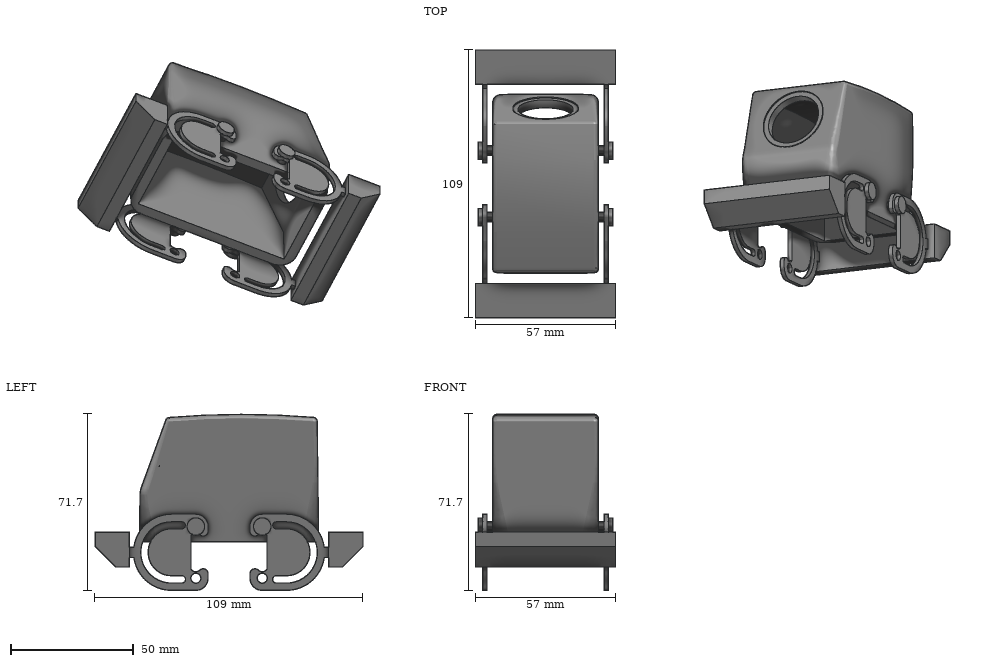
import cadquery as cq
import math

body_half_width = 21.5
body_half_length = 36.5
body_top = 51.93
roof_sagitta = 1.35
roof_end_z = body_top - roof_sagitta
draft = math.tan(math.radians(0.7))
slant_angle = math.radians(20)
slant = math.tan(slant_angle)
knee_z = 20.7
knee_radius = 9.0
flare_z = 24.0
wall = 4.0

roof_radius = 1.8
corner_radius_top = 1.6
corner_radius_flare = 2.1
corner_radius_knee = 3.2
corner_radius_front = 6.8
corner_radius_back = 7.3

entry_diameter = 22.4
seat_diameter = 26.7
seat_depth = 0.5
entry_cut_depth = 10.0

ring_y = 23.4
ring_z = -4.25
ring_radius = 15.5
slot_mid_radius = 11.0
slot_width = 2.9
slot_end_y = 17.75
plate_edge_y = 15.4
plate_inner_x = 23.8
plate_outer_x = 25.6
hook_radius = 5.0
finger_radius = 2.0
finger_offset = 1.86
notch_web = 2.68
pivot_y = 13.5
pivot_height = ring_radius - hook_radius
pivot_z = ring_z + pivot_height
hook_hole_radius = 2.0

pin_radius = 2.0
pin_head_radius = 3.55
pin_head_x = 27.4
pin_embed = 1.0

handle_length = 57.0
handle_inner_y = 40.5
handle_outer_y = 54.5
handle_top = 3.95
handle_bottom = -10.25
handle_chamfer = 8.4
tab_height = 4.2
tab_embed = 2.0

plate_thickness = plate_outer_x - plate_inner_x
finger_y = pivot_y - hook_radius + finger_radius
finger_height = pivot_height - finger_offset
notch_top = pivot_height - notch_web
finger_run = pivot_y - finger_y
finger_gap = finger_height - notch_top
notch_radius = (finger_run**2 + finger_gap**2 - finger_radius**2) / (2 * (finger_radius - finger_gap))
notch_height = notch_top - notch_radius
notch_edge = notch_height + math.sqrt(notch_radius**2 - (plate_edge_y - pivot_y) ** 2)
blend_share = notch_radius / (notch_radius + finger_radius)
blend_y = pivot_y + blend_share * (finger_y - pivot_y)
blend_height = notch_height + blend_share * (finger_height - notch_height)

knee_tangent = knee_radius * math.tan((slant_angle - math.atan(draft)) / 2)
knee_y = body_half_length - draft * knee_z
roof_back_y = knee_y - slant * (roof_end_z - knee_z)
roof_front_y = -body_half_length + draft * roof_end_z
roof_mid_y = (roof_back_y + roof_front_y) / 2
upright_limit = (flare_z + roof_end_z) / 2
slant_z = (knee_z + roof_end_z) / 2
slant_y = knee_y - slant * (slant_z - knee_z)


def hood_outline(half_width, base_z):
    """Closed side outline of the hood at X = -half_width, from base_z to the roof.

    The front side has an extra point at flare_z so that its corner edges are split there.
    """
    base_y = body_half_length - draft * base_z
    knee_start = (knee_y + draft * knee_tangent, knee_z - knee_tangent)
    knee_end = (knee_y - knee_tangent * math.sin(slant_angle), knee_z + knee_tangent * math.cos(slant_angle))
    return (
        cq.Workplane("YZ", origin=(-half_width, 0, 0))
        .moveTo(base_y, base_z)
        .lineTo(*knee_start)
        .tangentArcPoint(knee_end, relative=False)
        .lineTo(roof_back_y, roof_end_z)
        .threePointArc((roof_mid_y, body_top), (roof_front_y, roof_end_z))
        .lineTo(-body_half_length + draft * flare_z, flare_z)
        .lineTo(-base_y, base_z)
        .close()
    )


def extrude_hood():
    """Sharp-cornered hood; the split front face must stay unmerged."""
    return hood_outline(body_half_width, 0).extrude(2 * body_half_width, clean=False)


def corner_radius_at(point):
    """Corner radius at the end point of an upright edge."""
    at_back = point.y > 0
    if point.z < knee_z / 2:
        return corner_radius_back if at_back else corner_radius_front
    if point.z > upright_limit:
        return corner_radius_top
    return corner_radius_knee if at_back else corner_radius_flare


def round_hood(blank):
    """Blend roof edges at one radius and upright edges at a varying radius."""
    maker = cq.occ_impl.shapes.BRepFilletAPI_MakeFillet(blank.val().wrapped)
    for edge in blank.edges().vals():
        low = min(edge.startPoint().z, edge.endPoint().z)
        high = max(edge.startPoint().z, edge.endPoint().z)
        on_side = abs(edge.Center().x) > body_half_width / 2
        if low > upright_limit:
            maker.Add(roof_radius, edge.wrapped)
        elif on_side and high > knee_z / 2:
            maker.Add(edge.wrapped)
            contour = maker.Contour(edge.wrapped)
            for vertex in edge.Vertices():
                maker.SetRadius(corner_radius_at(vertex.Center()), contour, vertex.wrapped)
    return cq.Workplane(cq.Shape.cast(maker.Shape()))


def hood_cavity():
    """Hollow of the hood: the outline inset by the wall, open at the underside."""
    half_width = body_half_width - wall
    return hood_outline(half_width, -wall).offset2D(-wall).extrude(2 * half_width)


def cable_entry():
    """Bore through the slanted wall with a shallow seat around it."""
    face = cq.Workplane(cq.Plane((0, slant_y, slant_z), (1, 0, 0), (0, 1, slant)))
    bore = face.circle(entry_diameter / 2).extrude(-entry_cut_depth)
    seat = face.workplane(offset=seat_depth).circle(seat_diameter / 2).extrude(-2 * seat_depth)
    return bore.union(seat)


def half_plate():
    """Upper half of a lever side plate, on the ring's centre line at Z = 0."""
    hook_y = pivot_y - hook_radius
    blank = (
        cq.Workplane("YZ", origin=(plate_inner_x, 0, 0))
        .moveTo(plate_edge_y, 0)
        .lineTo(plate_edge_y, notch_edge)
        .threePointArc((pivot_y, notch_height + notch_radius), (blend_y, blend_height))
        .threePointArc((finger_y, finger_height - finger_radius), (hook_y, finger_height))
        .lineTo(hook_y, pivot_height)
        .radiusArc((pivot_y, ring_radius), hook_radius)
        .lineTo(ring_y, ring_radius)
        .threePointArc(ring_point(ring_radius), (ring_y + ring_radius, 0))
        .close()
        .extrude(plate_thickness)
    )
    slot_outer = slot_mid_radius + slot_width / 2
    slot_inner = slot_mid_radius - slot_width / 2
    slot_cap_y = slot_end_y + slot_width / 2
    slot = (
        cq.Workplane("YZ", origin=(plate_inner_x, 0, 0))
        .moveTo(ring_y + slot_outer, 0)
        .threePointArc(ring_point(slot_outer), (ring_y, slot_outer))
        .lineTo(slot_cap_y, slot_outer)
        .threePointArc((slot_end_y, slot_mid_radius), (slot_cap_y, slot_inner))
        .lineTo(ring_y, slot_inner)
        .threePointArc(ring_point(slot_inner), (ring_y + slot_inner, 0))
        .close()
        .extrude(plate_thickness)
    )
    hole = (
        cq.Workplane("YZ", origin=(plate_inner_x, pivot_y, pivot_height))
        .circle(hook_hole_radius)
        .extrude(plate_thickness)
    )
    return blank.cut(slot).cut(hole)


def ring_point(radius):
    """Point halfway along the quarter circle of the given radius about the ring centre."""
    reach = radius * math.cos(math.radians(45))
    return (ring_y + reach, reach)


def lever_plate():
    """Complete side plate with the tab that joins it to the handle."""
    upper = half_plate()
    plate = upper.union(upper.mirror("XY"))
    tab_start_y = ring_y + ring_radius - tab_embed
    tab = cq.Workplane(origin=(plate_inner_x, tab_start_y, 0)).box(
        plate_thickness, handle_inner_y - tab_start_y, tab_height, centered=(False, False, True)
    )
    return plate.union(tab).translate((0, 0, ring_z))


def pivot_pin():
    """Headed pin from the hood wall out through the upper hook hole."""
    pin_start_x = body_half_width - pin_embed
    shank = (
        cq.Workplane("YZ", origin=(pin_start_x, pivot_y, pivot_z))
        .circle(pin_radius)
        .extrude(plate_outer_x - pin_start_x)
    )
    head = (
        cq.Workplane("YZ", origin=(plate_outer_x, pivot_y, pivot_z))
        .circle(pin_head_radius)
        .extrude(pin_head_x - plate_outer_x)
    )
    return shank.union(head)


def handle_bar():
    """Bar across both plates, chamfered along its lower outer edge."""
    return (
        cq.Workplane("YZ", origin=(-handle_length / 2, 0, 0))
        .moveTo(handle_inner_y, handle_bottom)
        .lineTo(handle_outer_y - handle_chamfer, handle_bottom)
        .lineTo(handle_outer_y, handle_bottom + handle_chamfer)
        .lineTo(handle_outer_y, handle_top)
        .lineTo(handle_inner_y, handle_top)
        .close()
        .extrude(handle_length)
    )


def lever():
    """Lever at the +Y end: a pinned plate on each side and the handle between them."""
    side = lever_plate().union(pivot_pin())
    return side.union(side.mirror("YZ")).union(handle_bar())


hood = round_hood(extrude_hood()).cut(hood_cavity()).cut(cable_entry())
back_lever = lever()
front_lever = back_lever.mirror("XZ")
result = hood.union(back_lever).union(front_lever)